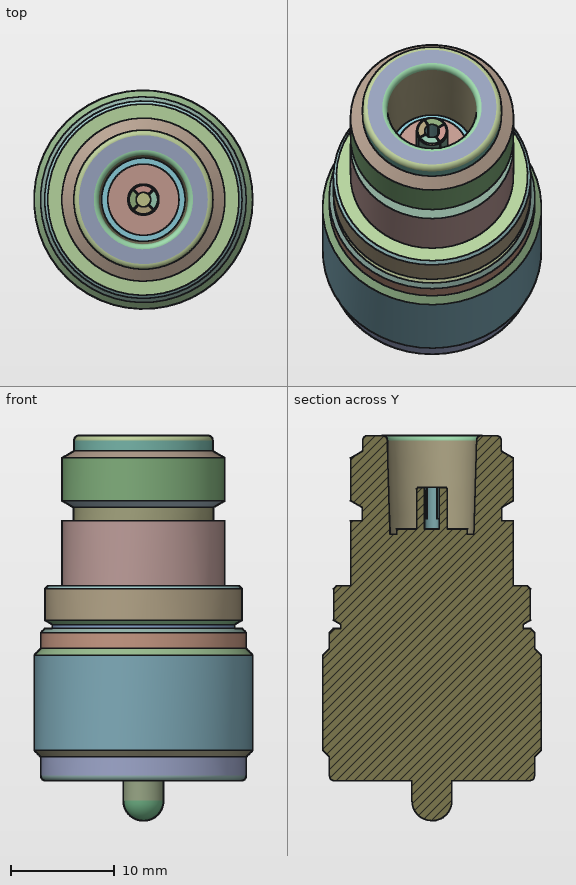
import cadquery as cq
import math


probe_radius = 1.95
probe_length = 3.85
overall_length = 37.1

barrel_radius = 10.535
collar_radius = 9.9
collar_edge_radius = 0.5
barrel_chamfer = barrel_radius - collar_radius
barrel_bottom_z = 2.3
barrel_top_z = 12.75
shoulder_chamfer = 0.4
shoulder_top_z = 14.67

groove_radius = 8.8
flange_radius = 9.5
flange_bottom_z = 15.05
flange_top_z = 18.8
flange_chamfer = 0.3

neck_radius = 7.85
relief_radius = 6.75
relief_bottom_z = 25.05
nose_radius = 6.7
nose_edge_radius = 0.5
nose_top_z = overall_length - probe_length
nose_height = 1.5
nose_bottom_z = nose_top_z - nose_height
bevel_angle = math.radians(30)
head_bottom_z = 26.95

mouth_radius = 4.78
mouth_edge_radius = 0.5
socket_throat_radius = mouth_radius - mouth_edge_radius
socket_floor_radius = 4.02
socket_depth = 9.5
insulator_radius = 3.43
insulator_height = 0.5

contact_radius = 1.5
contact_chamfer = 0.13
contact_tip_depth = 5.0
contact_hole_radius = 0.7
contact_hole_depth = 4.0
slot_width = 0.1
slot_depth = 3.0
slot_angles = (45, 135)

socket_floor_z = nose_top_z - socket_depth
contact_tip_z = nose_top_z - contact_tip_depth


def bevel_height(outer_radius, inner_radius):
    """Axial length of a bevel between two radii."""
    return (outer_radius - inner_radius) * math.tan(bevel_angle)


def rounding_midpoint(center_radius, center_z, radius, radial_sign, axial_sign):
    """Middle point of a quarter-round edge in the radius-Z plane."""
    offset = radius * math.sqrt(0.5)
    return center_radius + radial_sign * offset, center_z + axial_sign * offset


def make_shell():
    """Outer body with the open socket, revolved from its half section."""
    collar_flat = collar_radius - collar_edge_radius
    nose_flat = nose_radius - nose_edge_radius
    nose_round_z = nose_top_z - nose_edge_radius
    collar_mid = rounding_midpoint(collar_flat, collar_edge_radius, collar_edge_radius, 1, -1)
    nose_mid = rounding_midpoint(nose_flat, nose_round_z, nose_edge_radius, 1, 1)
    mouth_round_z = nose_top_z - mouth_edge_radius
    mouth_mid = rounding_midpoint(mouth_radius, mouth_round_z, mouth_edge_radius, -1, 1)
    profile = (
        cq.Workplane("XZ")
        .moveTo(0, 0)
        .lineTo(collar_flat, 0)
        .threePointArc(collar_mid, (collar_radius, collar_edge_radius))
        .lineTo(collar_radius, barrel_bottom_z)
        .lineTo(barrel_radius, barrel_bottom_z + barrel_chamfer)
        .lineTo(barrel_radius, barrel_top_z - barrel_chamfer)
        .lineTo(collar_radius, barrel_top_z)
        .lineTo(collar_radius, shoulder_top_z - shoulder_chamfer)
        .lineTo(collar_radius - shoulder_chamfer, shoulder_top_z)
        .lineTo(groove_radius, shoulder_top_z)
        .lineTo(groove_radius, flange_bottom_z)
        .lineTo(flange_radius, flange_bottom_z + bevel_height(flange_radius, groove_radius))
        .lineTo(flange_radius, flange_top_z - flange_chamfer)
        .lineTo(flange_radius - flange_chamfer, flange_top_z)
        .lineTo(neck_radius, flange_top_z)
        .lineTo(neck_radius, relief_bottom_z)
        .lineTo(relief_radius, relief_bottom_z)
        .lineTo(relief_radius, head_bottom_z - bevel_height(neck_radius, relief_radius))
        .lineTo(neck_radius, head_bottom_z)
        .lineTo(neck_radius, nose_bottom_z - bevel_height(neck_radius, nose_radius))
        .lineTo(nose_radius, nose_bottom_z)
        .lineTo(nose_radius, nose_round_z)
        .threePointArc(nose_mid, (nose_flat, nose_top_z))
        .lineTo(mouth_radius, nose_top_z)
        .threePointArc(mouth_mid, (socket_throat_radius, mouth_round_z))
        .lineTo(socket_floor_radius, socket_floor_z)
        .lineTo(0, socket_floor_z)
        .close()
    )
    return profile.revolve(360, (0, 0, 0), (0, 1, 0))


def make_insulator():
    """Raised insulator face on the socket floor."""
    return cq.Workplane("XY").workplane(offset=socket_floor_z).circle(insulator_radius).extrude(insulator_height)


def make_contact():
    """Hollow centre contact with crossed slots at its tip."""
    contact = (
        cq.Workplane("XY")
        .workplane(offset=socket_floor_z)
        .circle(contact_radius)
        .extrude(contact_tip_z - socket_floor_z)
        .faces(">Z")
        .chamfer(contact_chamfer)
    )
    tip_plane = cq.Workplane("XY").workplane(offset=contact_tip_z)
    contact = contact.cut(tip_plane.circle(contact_hole_radius).extrude(-contact_hole_depth))
    for angle in slot_angles:
        slot = tip_plane.transformed(rotate=(0, 0, angle)).rect(2 * contact_radius, slot_width)
        contact = contact.cut(slot.extrude(-slot_depth))
    return contact


def make_probe():
    """Round pin below the body, ending in a hemisphere."""
    straight_length = probe_length - probe_radius
    shank = cq.Workplane("XY").circle(probe_radius).extrude(-straight_length)
    tip = cq.Workplane("XY").sphere(probe_radius).translate((0, 0, -straight_length))
    return shank.union(tip)


result = make_shell().union(make_insulator()).union(make_contact()).union(make_probe())